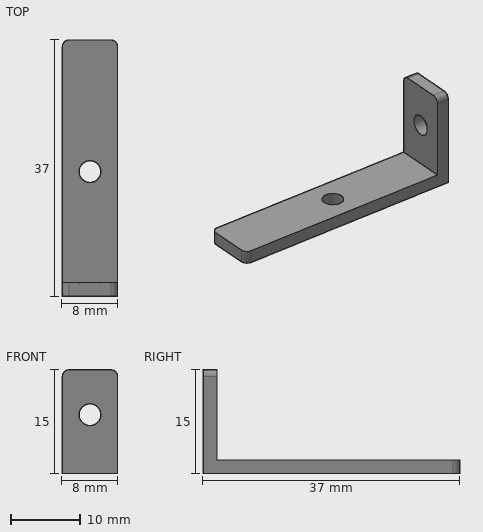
import cadquery as cq

width = 8.0
length = 37.0
height = 15.0
thickness = 2.0
corner_radius = 1.0
hole_diameter = 3.1
base_hole_y = 18.0
upright_hole_z = 8.5


def base_leg():
    """Flat leg along Y with its two far corners rounded."""
    leg = cq.Workplane("XY").box(width, length, thickness, centered=(True, False, False))
    leg = leg.edges("|Z and >Y").fillet(corner_radius)
    hole = (
        cq.Workplane("XY")
        .center(0, base_hole_y)
        .circle(hole_diameter / 2)
        .extrude(thickness)
    )
    return leg.cut(hole)


def upright_leg():
    """Standing leg along Z with its two top corners rounded."""
    leg = cq.Workplane("XY").box(width, thickness, height, centered=(True, False, False))
    leg = leg.edges("|Y and >Z").fillet(corner_radius)
    hole = (
        cq.Workplane("XZ")
        .center(0, upright_hole_z)
        .circle(hole_diameter / 2)
        .extrude(-thickness)
    )
    return leg.cut(hole)


result = base_leg().union(upright_leg()).clean()